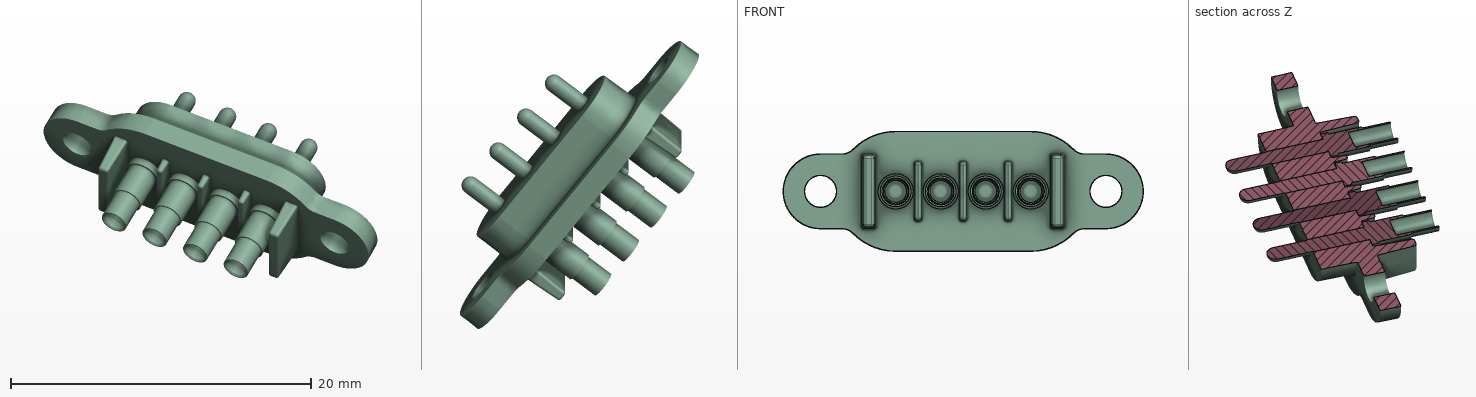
import cadquery as cq
import math


contact_count = 4
contact_pitch = 3.0
outer_contact_x = (contact_count - 1) / 2 * contact_pitch
contact_positions = [i * contact_pitch - outer_contact_x for i in range(contact_count)]

overall_length = 24.0
plate_height = 8.0
plate_radius = plate_height / 2
plate_arc_offset = outer_contact_x
ear_radius = 2.5
hole_spacing = overall_length - 2 * ear_radius
neck_radius = 1.0
flange_thickness = 1.5
mount_hole_diameter = 2.1

boss_radius = 2.5
boss_length = 2.52

housing_draft = 1.0
edge_round = 0.07
face_tolerance = 0.02

barrier_draft = 2.5
barrier_round = 0.2
wall_offset = 6.3
wall_width = 0.95
wall_height = 5.0
wall_length = 2.8
rib_width = 0.5
rib_height = 3.98
rib_length = 1.0
rib_positions = [x + contact_pitch / 2 for x in contact_positions[:-1]]

pin_diameter = 1.2
pin_reach = 7.0
collar_diameter = 2.35
collar_length = 0.5
barrel_diameter = 2.05
barrel_end = 2.8
cup_diameter = 1.8
cup_end = 4.8
bore_diameter = 1.46
bore_depth = 3.0
bore_chamfer = 0.1


def front_plane(y=0.0):
    """Plane facing -Y, with local x along X and local y along Z."""
    return cq.Workplane("XZ", origin=(0, y, 0))


def back_plane(y=0.0):
    """Plane facing +Y, with local x along X."""
    return cq.Workplane(cq.Plane(origin=(0, y, 0), xDir=(1, 0, 0), normal=(0, 1, 0)))


def flange_outline(plane):
    """Wide rounded plate with an ear at each end, blended by concave neck arcs."""
    ear_x = hole_spacing / 2
    centre_gap = plate_radius + neck_radius
    neck_z = ear_radius + neck_radius
    neck_x = plate_arc_offset + math.sqrt(centre_gap**2 - neck_z**2)
    share = plate_radius / centre_gap
    blend_x = plate_arc_offset + share * (neck_x - plate_arc_offset)
    blend_z = share * neck_z
    return (
        plane.moveTo(-plate_arc_offset, plate_radius)
        .lineTo(plate_arc_offset, plate_radius)
        .radiusArc((blend_x, blend_z), plate_radius)
        .radiusArc((neck_x, ear_radius), -neck_radius)
        .lineTo(ear_x, ear_radius)
        .threePointArc((ear_x + ear_radius, 0), (ear_x, -ear_radius))
        .lineTo(neck_x, -ear_radius)
        .radiusArc((blend_x, -blend_z), -neck_radius)
        .radiusArc((plate_arc_offset, -plate_radius), plate_radius)
        .lineTo(-plate_arc_offset, -plate_radius)
        .radiusArc((-blend_x, -blend_z), plate_radius)
        .radiusArc((-neck_x, -ear_radius), -neck_radius)
        .lineTo(-ear_x, -ear_radius)
        .threePointArc((-ear_x - ear_radius, 0), (-ear_x, ear_radius))
        .lineTo(-neck_x, ear_radius)
        .radiusArc((-blend_x, blend_z), -neck_radius)
        .radiusArc((-plate_arc_offset, plate_radius), plate_radius)
        .close()
    )


def make_flange():
    flange = flange_outline(back_plane()).extrude(flange_thickness, taper=housing_draft)
    return flange.faces(">Y").edges().fillet(edge_round)


def make_boss():
    boss = (
        back_plane(flange_thickness)
        .slot2D(2 * (plate_arc_offset + boss_radius), 2 * boss_radius)
        .extrude(boss_length, taper=housing_draft)
    )
    return boss.faces(">Y").edges().fillet(edge_round)


def make_barrier(x, width, height, length):
    """Drafted upright plate with rounded corners and tip."""
    barrier = front_plane().center(x, 0).rect(width, height).extrude(length, taper=barrier_draft)
    return barrier.edges("not(>Y)").fillet(barrier_round)


def round_roots(body, y, x_limit, z_limit):
    """Concave round where the features inside the given limits meet a flange face."""
    near_face = cq.selectors.BoxSelector(
        (-x_limit, y - face_tolerance, -z_limit),
        (x_limit, y + face_tolerance, z_limit),
        boundingbox=True,
    )
    return body.edges(near_face).fillet(edge_round)


def make_plugs(x_positions, diameter, length):
    """Row of cylinders reaching back from the flange front face, used to cut holes."""
    centres = [(x, 0) for x in x_positions]
    return back_plane().pushPoints(centres).circle(diameter / 2).extrude(length)


def make_housing():
    root_x = plate_arc_offset + boss_radius + face_tolerance
    root_z = boss_radius + face_tolerance
    body = make_flange().union(make_boss())
    for side in (-1, 1):
        body = body.union(make_barrier(side * wall_offset, wall_width, wall_height, wall_length))
    for x in rib_positions:
        body = body.union(make_barrier(x, rib_width, rib_height, rib_length))
    for y in (0, flange_thickness):
        body = round_roots(body, y, root_x, root_z)
    mount_holes = make_plugs([-hole_spacing / 2, hole_spacing / 2], mount_hole_diameter, flange_thickness)
    pin_holes = make_plugs(contact_positions, pin_diameter, flange_thickness + boss_length)
    return body.cut(mount_holes).cut(pin_holes)


def make_contact(x):
    """Turned contact: domed pin at the back, collar, barrel and hollow wire cup at the front."""
    pin_radius = pin_diameter / 2
    dome_y = pin_reach - pin_radius
    pin = back_plane().circle(pin_radius).extrude(dome_y)
    dome = cq.Workplane("XY").sphere(pin_radius).translate((0, dome_y, 0))
    collar = front_plane().circle(collar_diameter / 2).extrude(collar_length)
    barrel = front_plane().circle(barrel_diameter / 2).extrude(barrel_end)
    cup = front_plane().circle(cup_diameter / 2).extrude(cup_end)
    bore = back_plane(-cup_end).circle(bore_diameter / 2).extrude(bore_depth)
    contact = pin.union(dome).union(collar).union(barrel).union(cup).cut(bore)
    bore_mouth = contact.faces("<Y").edges(cq.selectors.RadiusNthSelector(0))
    return bore_mouth.chamfer(bore_chamfer).translate((x, 0, 0))


housing = make_housing()
contacts = [make_contact(x) for x in contact_positions]

result = cq.Compound.makeCompound([housing.val(), *[contact.val() for contact in contacts]])